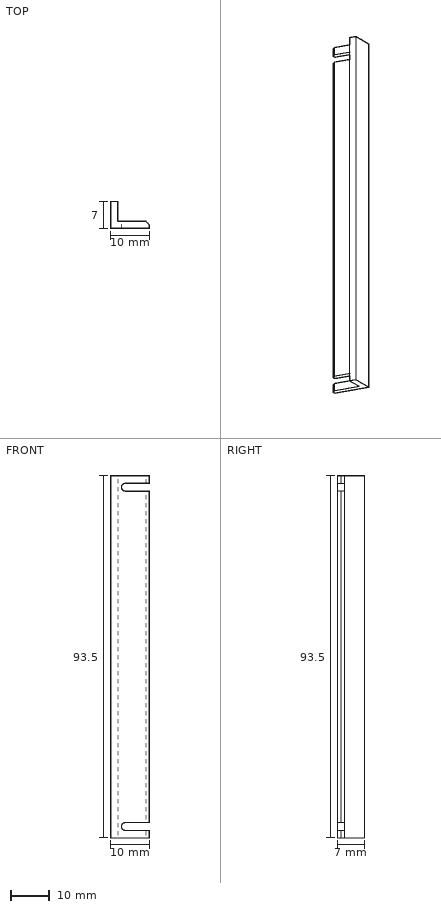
import cadquery as cq

length = 93.5
front_width = 10.0
side_depth = 7.0
thickness = 1.9
edge_chamfer_x = 0.9
edge_chamfer_y = 0.9

slot_width = 2.0
slot_center_from_end = 3.0
slot_closed_end_x = 2.8


def angle_strip():
    """L-shaped section with a bevel on the inner free edge of the front leg."""
    return (
        cq.Workplane("XY")
        .moveTo(0, 0)
        .lineTo(front_width, 0)
        .lineTo(front_width, thickness - edge_chamfer_y)
        .lineTo(front_width - edge_chamfer_x, thickness)
        .lineTo(thickness, thickness)
        .lineTo(thickness, side_depth)
        .lineTo(0, side_depth)
        .close()
        .extrude(length)
    )


def mounting_slot(center_z):
    """Round-ended slot through the front leg, open at its free edge."""
    radius = slot_width / 2
    arc_center_x = slot_closed_end_x + radius
    return (
        cq.Workplane("XZ")
        .moveTo(front_width, center_z - radius)
        .lineTo(arc_center_x, center_z - radius)
        .threePointArc((slot_closed_end_x, center_z), (arc_center_x, center_z + radius))
        .lineTo(front_width, center_z + radius)
        .close()
        .extrude(-thickness)
    )


result = angle_strip()
for slot_z in (slot_center_from_end, length - slot_center_from_end):
    result = result.cut(mounting_slot(slot_z))